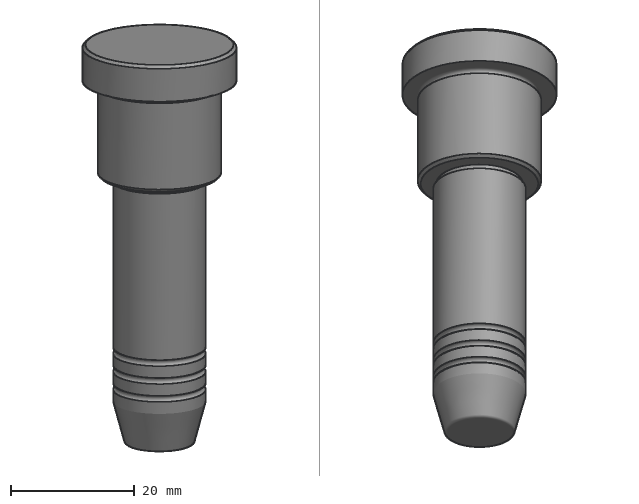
import cadquery as cq
import math

total_length = 67.0
head_diameter = 25.0
head_height = 6.0
edge_chamfer = 0.5

body_diameter = 20.0
body_bottom_depth = 22.05
relief_width = 1.0
relief_depth = 0.5
relief_fillet = 0.5

shaft_diameter = 15.0
neck_diameter = 14.0
neck_width = 0.95

groove_count = 3
first_groove_depth = 51.0
groove_pitch = 3.0
groove_width = 1.0
groove_radius = groove_width / 2

taper_height = 7.0
taper_angle = math.radians(15)
tip_fillet = 0.5

body_radius = body_diameter / 2
shaft_radius = shaft_diameter / 2
head_bottom = total_length - head_height
body_bottom = total_length - body_bottom_depth


def cylinder(diameter, bottom, top):
    """Round section on the Z axis between two heights."""
    return cq.Workplane("XY").workplane(offset=bottom).circle(diameter / 2).extrude(top - bottom)


def make_head():
    return cylinder(head_diameter, head_bottom, total_length).faces(">Z").edges().chamfer(edge_chamfer)


def make_body():
    """Chamfered body whose relief is rounded into the underside of the head."""
    relief_radius = body_radius - relief_depth
    arc_offset = relief_fillet * (1 - math.sqrt(0.5))
    profile = (
        cq.Workplane("XZ")
        .moveTo(0, body_bottom)
        .lineTo(body_radius - edge_chamfer, body_bottom)
        .lineTo(body_radius, body_bottom + edge_chamfer)
        .lineTo(body_radius, head_bottom - relief_width)
        .lineTo(relief_radius, head_bottom - relief_width)
        .lineTo(relief_radius, head_bottom - relief_fillet)
        .threePointArc(
            (relief_radius + arc_offset, head_bottom - arc_offset),
            (relief_radius + relief_fillet, head_bottom),
        )
        .lineTo(0, head_bottom)
        .close()
    )
    return profile.revolve(360, (0, 0, 0), (0, 1, 0))


def make_tip():
    """Conical tip with a rounded end."""
    end_radius = shaft_radius - taper_height * math.tan(taper_angle)
    profile = (
        cq.Workplane("XZ")
        .moveTo(0, 0)
        .lineTo(end_radius, 0)
        .lineTo(shaft_radius, taper_height)
        .lineTo(0, taper_height)
        .close()
    )
    return profile.revolve(360, (0, 0, 0), (0, 1, 0)).faces("<Z").edges().fillet(tip_fillet)


def make_groove(upper_edge):
    """Ring-shaped half-round cutter starting at the given height."""
    profile = (
        cq.Workplane("XZ")
        .moveTo(shaft_radius, upper_edge)
        .threePointArc(
            (shaft_radius - groove_radius, upper_edge - groove_radius),
            (shaft_radius, upper_edge - groove_width),
        )
        .close()
    )
    return profile.revolve(360, (0, 0, 0), (0, 1, 0))


def make_shaft():
    neck_bottom = body_bottom - neck_width
    shaft = cylinder(shaft_diameter, taper_height, neck_bottom)
    for index in range(groove_count):
        upper_edge = total_length - first_groove_depth - index * groove_pitch
        shaft = shaft.cut(make_groove(upper_edge))
    return shaft.union(cylinder(neck_diameter, neck_bottom, body_bottom))


result = make_head().union(make_body()).union(make_shaft()).union(make_tip())